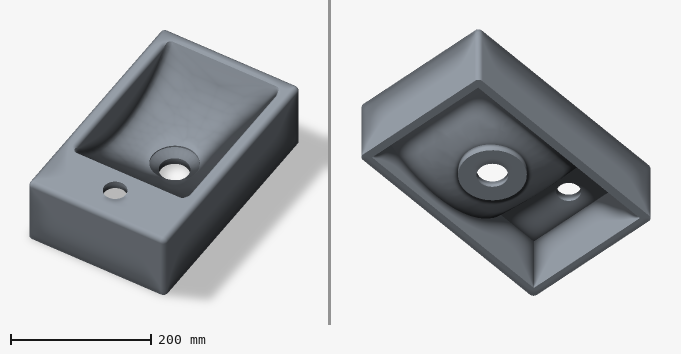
import cadquery as cq

WIDTH = 229.8
LENGTH = 370.0
HEIGHT = 110.0
EDGE_RADIUS = 7.5
WALL = 13.0

BASIN_BACK = 166.0
BASIN_FRONT = -97.5
BASIN_CENTER = (BASIN_BACK + BASIN_FRONT) / 2
BASIN_LENGTH = BASIN_BACK - BASIN_FRONT
BASIN_HALF_WIDTH = 93.5
SIDE_DEPTH = 67.7
CENTER_DEPTH = 86.5
FLOOR_BLEND = 7.0
RIM_RADIUS = 6.3
MOUTH_CORNER_RADIUS = 15.0
MOUTH_DEPTH = 6.5

DRAIN_Y = 29.0
DRAIN_DIAMETER = 45.0
DRAIN_MOUTH_DIAMETER = 72.0
DRAIN_MOUTH_Z = 23.5
DRAIN_THROAT_Z = 14.5
DRAIN_COLLAR_Z = 3.5
DRAIN_COLLAR_DIAMETER = DRAIN_MOUTH_DIAMETER + 2 * WALL
TAP_Y = -133.5
TAP_DIAMETER = 35.0


def centered_box(width, length, height):
    return cq.Workplane("XY").box(width, length, height, centered=(True, True, False))


def make_body():
    """Block with rounded vertical and top edges."""
    block = centered_box(WIDTH, LENGTH, HEIGHT)
    return block.edges("|Z or >Z").fillet(EDGE_RADIUS)


def make_bowl(margin=0.0):
    """Bowl volume below the top face, grown outward by margin; deepest along its middle."""
    half_length = BASIN_LENGTH / 2 + margin
    half_width = BASIN_HALF_WIDTH + margin
    sections = []
    for x, depth in ((-half_width, SIDE_DEPTH), (0, CENTER_DEPTH), (half_width, SIDE_DEPTH)):
        section = (
            cq.Workplane("YZ", origin=(x, BASIN_CENTER, HEIGHT))
            .moveTo(-half_length, 0)
            .threePointArc((0, -depth - margin), (half_length, 0))
            .close()
        )
        sections.append(section.val())
    return cq.Workplane(cq.Solid.makeLoft(sections))


def make_basin():
    """Bowl with its floor blended into the side walls."""
    side_arcs = cq.selectors.BoxSelector(
        (-WIDTH, BASIN_FRONT, 0), (WIDTH, BASIN_BACK, HEIGHT - SIDE_DEPTH / 4)
    )
    return make_bowl().faces("<X or >X").edges(side_arcs).fillet(FLOOR_BLEND)


def make_underside():
    """Hollow open at the bottom, leaving a wall around the sides, deck and bowl and a drain collar."""
    hollow = centered_box(WIDTH - 2 * WALL, LENGTH - 2 * WALL, HEIGHT - WALL)
    collar = (
        cq.Workplane("XY", origin=(0, DRAIN_Y, DRAIN_COLLAR_Z))
        .circle(DRAIN_COLLAR_DIAMETER / 2)
        .extrude(DRAIN_MOUTH_Z)
    )
    return hollow.cut(make_bowl(WALL)).cut(collar)


def make_drain():
    """Conical mouth leading into a straight through hole."""
    throat_radius = DRAIN_DIAMETER / 2
    mouth_radius = DRAIN_MOUTH_DIAMETER / 2
    return (
        cq.Workplane("XZ", origin=(0, DRAIN_Y, 0))
        .polyline(
            [
                (0, 0),
                (throat_radius, 0),
                (throat_radius, DRAIN_THROAT_Z),
                (mouth_radius, DRAIN_MOUTH_Z),
                (mouth_radius, HEIGHT / 2),
                (0, HEIGHT / 2),
            ]
        )
        .close()
        .revolve(360, (0, 0, 0), (0, 1, 0))
    )


def make_tap_hole():
    return cq.Workplane("XY").center(0, TAP_Y).circle(TAP_DIAMETER / 2).extrude(HEIGHT)


def make_mouth():
    """Basin opening at the top face, flared outward by the rounded rim."""
    plate_floor = cq.Workplane("XY", origin=(0, BASIN_CENTER, HEIGHT - MOUTH_DEPTH))
    plate = plate_floor.rect(WIDTH, LENGTH).extrude(MOUTH_DEPTH)
    opening = (
        plate_floor.rect(2 * BASIN_HALF_WIDTH, BASIN_LENGTH - 2 * RIM_RADIUS)
        .extrude(MOUTH_DEPTH)
        .edges("|Z")
        .fillet(MOUTH_CORNER_RADIUS - RIM_RADIUS)
    )
    opening_edges = cq.selectors.BoxSelector(
        (-WIDTH / 2 + WALL, BASIN_FRONT, 0), (WIDTH / 2 - WALL, BASIN_BACK, 2 * HEIGHT)
    )
    rim = plate.cut(opening).faces(">Z").edges(opening_edges).fillet(RIM_RADIUS)
    return plate.cut(rim)


result = (
    make_body()
    .cut(make_basin())
    .cut(make_mouth())
    .cut(make_underside())
    .cut(make_drain())
    .cut(make_tap_hole())
)